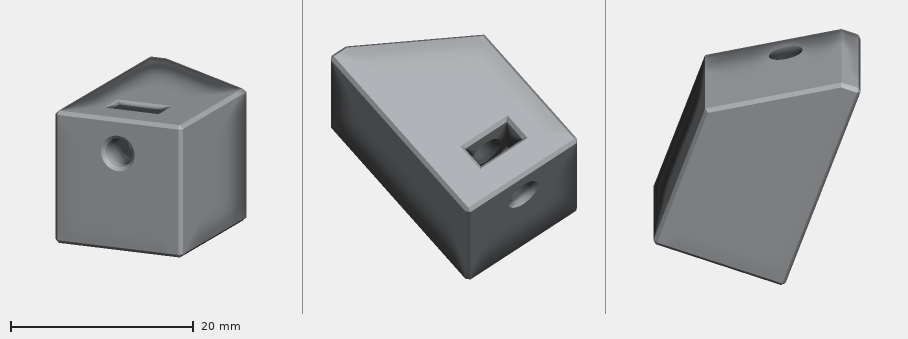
import cadquery as cq
import math

width = 15.33
length = 25.1
height = 15.0
edge_chamfer = 0.4

back_flat_width = 2.35
right_side_length = 17.14

hole_diameter = 3.2
hole_depth_below_top = 3.95
hole_x = width / 2
hole_z = height - hole_depth_below_top

nut_across_flats = 5.75
nut_thickness = 2.8
nut_center_y = 5.37
nut_half_width = nut_across_flats / 2
nut_corner_radius = nut_across_flats / math.sqrt(3)


def make_block():
    """Extrude the five-sided plan and chamfer all but the two slant corners."""
    block = (
        cq.Workplane("XY")
        .polyline([
            (0, 0),
            (width, 0),
            (width, right_side_length),
            (back_flat_width, length),
            (0, length),
        ])
        .close()
        .extrude(height)
    )
    square_corners = block.edges("|Z and (<X or <Y)")
    rims = block.faces("<Z or >Z").edges()
    return block.newObject(square_corners.vals() + rims.vals()).chamfer(edge_chamfer)


def make_countersink(start_y):
    """Cone that is widest at start_y and narrows to the bore toward +Y."""
    return (
        cq.Workplane("XZ", origin=(hole_x, start_y, hole_z))
        .circle(hole_diameter / 2 + edge_chamfer)
        .workplane(offset=-edge_chamfer)
        .circle(hole_diameter / 2)
        .loft()
    )


def make_screw_hole():
    """Through hole, countersunk at the front face and at the slot's back wall."""
    bore = (
        cq.Workplane("XZ", origin=(hole_x, 0, hole_z))
        .circle(hole_diameter / 2)
        .extrude(-length)
    )
    slot_back_y = nut_center_y + nut_thickness / 2
    return bore.union(make_countersink(0)).union(make_countersink(slot_back_y))


def make_nut_slot():
    """Slot with the lower half of a hexagon as its floor and a chamfered mouth."""
    slot = (
        cq.Workplane("XZ", origin=(hole_x, nut_center_y, hole_z))
        .polyline([
            (-nut_half_width, hole_depth_below_top),
            (-nut_half_width, -nut_corner_radius / 2),
            (0, -nut_corner_radius),
            (nut_half_width, -nut_corner_radius / 2),
            (nut_half_width, hole_depth_below_top),
        ])
        .close()
        .extrude(nut_thickness / 2, both=True)
    )
    mouth = (
        cq.Workplane("XY", origin=(hole_x, nut_center_y, height))
        .rect(nut_across_flats + 2 * edge_chamfer, nut_thickness + 2 * edge_chamfer)
        .workplane(offset=-edge_chamfer)
        .rect(nut_across_flats, nut_thickness)
        .loft()
    )
    return slot.union(mouth)


result = make_block().cut(make_screw_hole()).cut(make_nut_slot())